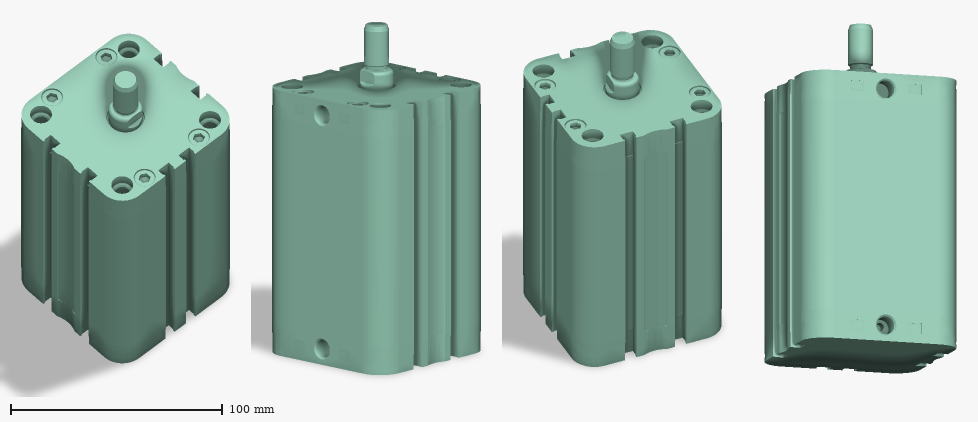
import cadquery as cq
import math

width = 77.0
half_width = width / 2
corner_radius = 12.0
cap_height = 13.7
cap_top = 129.1
barrel_top = cap_top - cap_height
cap_draft = 0.7

groove_half_width = 6.0
groove_depth = 1.3
barrel_groove_step = 0.5

slot_opening = 5.9
slot_width = 6.8
slot_depth = 5.0
cap_y_slot_depth = 5.4
slot_lip = 1.3
y_face_slot_offset = 12.96
x_face_slot_offset = 6.6

mount_offset = 28.3
mount_counterbore = 10.3
mount_counterbore_depth = 5.2
mount_countersink = 8.0
mount_hole = 6.7

screw_x = 32.3
screw_y = 17.5
screw_ring_outer = 10.3
screw_ring_inner = 9.4
screw_recess = 0.5
screw_ring_depth = 0.5
socket_across_flats = 5.1
socket_depth = 2.5

port_height = 7.6
port_mouth = 10.3
port_bore = 8.6
port_depth = 9.5
passage_diameter = 4.0
passage_rise = 0.8
passage_depth = 4.8

label_offset = 14.39
label_height = 6.92
label_length = 6.8
label_width = 5.0
label_depth = 0.2

rod_top = 159.0
rod_diameter = 16.0
rod_shoulder_z = 137.2
rod_edge_radius = 1.7
neck_diameter = 10.0
neck_flare = 0.3
thread_diameter = 12.0
thread_bottom = 139.9
thread_runout = 0.5
thread_tip_diameter = 10.2
thread_tip_length = 2.4
wrench_across_flats = 13.0
wrench_flat_bottom = 131.7

wiper_mouth = 18.0
wiper_floor = 17.6
wiper_depth = 1.3


def outline(groove_step):
    """Rounded square with a concave groove in the middle of both Y faces.

    A positive groove_step adds a short 45 degree wall on each side of the groove.
    """
    h = half_width
    straight = h - corner_radius
    arc_offset = corner_radius * (1 - math.sqrt(0.5))
    arc_point = h - arc_offset
    arc_half_width = groove_half_width - groove_step
    arc_edge = h - groove_step
    arc_middle = h - groove_depth

    def groove(sketch, side):
        """Groove on the +Y face (side = 1) or the -Y face (side = -1)."""
        sketch = sketch.lineTo(side * groove_half_width, side * h)
        if groove_step:
            sketch = sketch.lineTo(side * arc_half_width, side * arc_edge)
        sketch = sketch.threePointArc((0, side * arc_middle), (-side * arc_half_width, side * arc_edge))
        if groove_step:
            sketch = sketch.lineTo(-side * groove_half_width, side * h)
        return sketch

    sketch = cq.Workplane("XY").moveTo(h, -straight).lineTo(h, straight)
    sketch = sketch.threePointArc((arc_point, arc_point), (straight, h))
    sketch = groove(sketch, 1).lineTo(-straight, h)
    sketch = sketch.threePointArc((-arc_point, arc_point), (-h, straight)).lineTo(-h, -straight)
    sketch = sketch.threePointArc((-arc_point, -arc_point), (-straight, -h))
    sketch = groove(sketch, -1).lineTo(straight, -h)
    sketch = sketch.threePointArc((arc_point, -arc_point), (h, -straight))
    return sketch.close()


def t_slot(depth):
    """Cutter for one full-length T-slot in the +X face, centred on y = 0."""
    opening = cq.Workplane("XY").box(depth, slot_opening, rod_top, centered=(False, True, False))
    inside = cq.Workplane("XY").box(
        depth - slot_lip, slot_width, rod_top, centered=(False, True, False)
    )
    return opening.union(inside).translate((half_width - depth, 0, 0))


def cut_t_slots(body, y_face_depth):
    """Cut two slots into each of the +X, +Y and -Y faces."""
    faces = (
        (0, x_face_slot_offset, slot_depth),
        (90, y_face_slot_offset, y_face_depth),
        (-90, y_face_slot_offset, y_face_depth),
    )
    for angle, offset, depth in faces:
        for side in (-1, 1):
            cutter = t_slot(depth).translate((0, side * offset, 0))
            body = body.cut(cutter.rotate((0, 0, 0), (0, 0, 1), angle))
    return body


def cap_blank():
    """Drafted cap without slots: barrel side at z = 0, outer end at z = cap_height."""
    return outline(0).extrude(cap_height, taper=cap_draft)


def cut_port(cap, end_z, inward):
    """Cut the conical-mouthed port and label panels; inward is the Z direction away from the end face."""
    mouth_depth = (port_mouth - port_bore) / 2
    port = (
        cq.Workplane("XY")
        .lineTo(port_mouth / 2, 0)
        .lineTo(port_bore / 2, mouth_depth)
        .lineTo(port_bore / 2, port_depth)
        .lineTo(0, port_depth)
        .close()
        .revolve(360, (0, 0, 0), (0, 1, 0))
        .rotate((0, 0, 0), (0, 0, 1), -90)
        .translate((-half_width, 0, end_z + inward * port_height))
    )
    cap = cap.cut(port)
    label_x = -half_width + (cap_height - label_height) * math.tan(math.radians(cap_draft))
    label_z = end_z + inward * label_height
    panel = cq.Workplane("XY").box(2 * label_depth, label_length, label_width)
    for side in (-1, 1):
        cap = cap.cut(panel.translate((label_x, side * label_offset, label_z)))
    return cap


def cut_mounting_holes(cap):
    """Counterbored and countersunk holes through the front cap, one near each corner."""
    sink_z = cap_height - mount_counterbore_depth
    sink_depth = (mount_countersink - mount_hole) / 2
    cutter = (
        cq.Workplane("XZ")
        .lineTo(mount_hole / 2, 0)
        .lineTo(mount_hole / 2, sink_z - sink_depth)
        .lineTo(mount_countersink / 2, sink_z)
        .lineTo(mount_counterbore / 2, sink_z)
        .lineTo(mount_counterbore / 2, cap_height)
        .lineTo(0, cap_height)
        .close()
        .revolve(360, (0, 0, 0), (0, 1, 0))
    )
    for x in (-mount_offset, mount_offset):
        for y in (-mount_offset, mount_offset):
            cap = cap.cut(cutter.translate((x, y, barrel_top)))
    return cap


def cut_screw_heads(cap):
    """Recesses, V-shaped rings and hex sockets of the four screw heads in the front cap."""
    recess = (
        cq.Workplane("XZ")
        .lineTo(screw_ring_outer / 2, 0)
        .lineTo(screw_ring_outer / 2, -screw_recess - screw_ring_depth)
        .lineTo(screw_ring_inner / 2, -screw_recess)
        .lineTo(0, -screw_recess)
        .close()
        .revolve(360, (0, 0, 0), (0, 1, 0))
    )
    across_corners = socket_across_flats / math.cos(math.pi / 6)
    socket = cq.Workplane("XY").polygon(6, across_corners).extrude(-screw_recess - socket_depth)
    for side_x in (-1, 1):
        turn = 90 if side_x < 0 else 0
        cutter = recess.union(socket.rotate((0, 0, 0), (0, 0, 1), turn))
        for side_y in (-1, 1):
            cap = cap.cut(cutter.translate((side_x * screw_x, side_y * screw_y, cap_top)))
    return cap


def cut_rod_bore(cap):
    """Bore that fits the rod, with a slightly tapered wiper recess at the outer face."""
    cutter = (
        cq.Workplane("XZ")
        .moveTo(0, barrel_top)
        .lineTo(rod_diameter / 2, barrel_top)
        .lineTo(rod_diameter / 2, cap_top - wiper_depth)
        .lineTo(wiper_floor / 2, cap_top - wiper_depth)
        .lineTo(wiper_mouth / 2, cap_top)
        .lineTo(0, cap_top)
        .close()
        .revolve(360, (0, 0, 0), (0, 1, 0))
    )
    return cap.cut(cutter)


def make_front_cap():
    cap = cap_blank().translate((0, 0, barrel_top))
    cap = cut_t_slots(cap, cap_y_slot_depth)
    cap = cut_port(cap, cap_top, -1)
    cap = cut_mounting_holes(cap)
    cap = cut_screw_heads(cap)
    return cut_rod_bore(cap)


def make_rear_cap():
    cap = cap_blank().mirror("XY").translate((0, 0, cap_height))
    cap = cut_t_slots(cap, cap_y_slot_depth)
    cap = cut_port(cap, 0, 1)
    passage = cq.Workplane("YZ").center(0, port_height + passage_rise).circle(passage_diameter / 2)
    passage = passage.extrude(port_depth + passage_depth)
    return cap.cut(passage.translate((-half_width, 0, 0)))


def make_barrel():
    barrel = outline(barrel_groove_step).extrude(barrel_top - cap_height)
    return cut_t_slots(barrel.translate((0, 0, cap_height)), slot_depth)


def make_rod():
    """Stepped rod standing on the barrel's end, with a threaded tip and two wrench flats."""
    radius = rod_diameter / 2
    edge_centre = (radius - rod_edge_radius, rod_shoulder_z - rod_edge_radius)
    edge_reach = rod_edge_radius * math.sqrt(0.5)
    rod = (
        cq.Workplane("XZ")
        .moveTo(0, barrel_top)
        .lineTo(radius, barrel_top)
        .lineTo(radius, edge_centre[1])
        .threePointArc(
            (edge_centre[0] + edge_reach, edge_centre[1] + edge_reach), (edge_centre[0], rod_shoulder_z)
        )
        .lineTo(neck_diameter / 2 + neck_flare, rod_shoulder_z)
        .lineTo(neck_diameter / 2, rod_shoulder_z + neck_flare)
        .lineTo(neck_diameter / 2, thread_bottom - thread_runout)
        .lineTo(thread_diameter / 2, thread_bottom)
        .lineTo(thread_diameter / 2, rod_top - thread_tip_length)
        .lineTo(thread_tip_diameter / 2, rod_top)
        .lineTo(0, rod_top)
        .close()
        .revolve(360, (0, 0, 0), (0, 1, 0))
    )
    flat = wrench_across_flats / 2
    flat_cut = (
        cq.Workplane("XZ")
        .moveTo(flat, wrench_flat_bottom)
        .lineTo(rod_diameter, wrench_flat_bottom - (rod_diameter - flat))
        .lineTo(rod_diameter, rod_shoulder_z)
        .lineTo(flat, rod_shoulder_z)
        .close()
        .extrude(rod_diameter / 2, both=True)
    )
    return rod.cut(flat_cut).cut(flat_cut.mirror("YZ"))


front_cap = make_front_cap()
rear_cap = make_rear_cap()
barrel = make_barrel()
rod = make_rod()

result = cq.Compound.makeCompound([front_cap.val(), rear_cap.val(), barrel.val(), rod.val()])